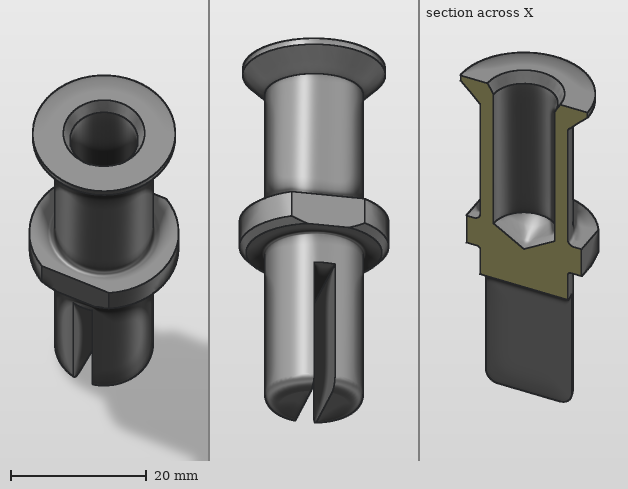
import cadquery as cq
import math

total_height = 55.0
body_radius = 7.25
foot_round = 2.0

head_radius = 10.5
rim_thickness = 1.0
head_cone_height = head_radius - body_radius

collar_radius = 11.0
collar_bottom = 25.0
collar_top = 30.0
collar_chamfer = 1.0
collar_flat_width = 19.05
upper_fillet = 1.0
lower_fillet = 0.5

slot_width = 3.15
slot_height = 20.0

bore_radius = 5.0
bore_mouth_radius = 6.0
bore_mouth_depth = (bore_mouth_radius - bore_radius) / math.tan(math.radians(30))
bore_floor = collar_top
drill_half_angle = math.radians(59)
bore_tip = bore_floor - bore_radius / math.tan(drill_half_angle)


def make_stem():
    """Body and head, turned as one profile with a rounded foot."""
    rim_bottom = total_height - rim_thickness
    profile = (
        cq.Workplane("XZ")
        .lineTo(body_radius - foot_round, 0)
        .radiusArc((body_radius, foot_round), -foot_round)
        .lineTo(body_radius, rim_bottom - head_cone_height)
        .lineTo(head_radius, rim_bottom)
        .lineTo(head_radius, total_height)
        .lineTo(0, total_height)
        .close()
    )
    return profile.revolve(360, (0, 0), (0, 1))


def make_collar():
    """Chamfered disc cut to two parallel flats."""
    height = collar_top - collar_bottom
    disc = cq.Workplane("XY").workplane(offset=collar_bottom).circle(collar_radius).extrude(height)
    disc = disc.faces("<Z").edges().chamfer(collar_chamfer)
    flats = (
        cq.Workplane("XY")
        .workplane(offset=collar_bottom)
        .rect(2 * collar_radius, collar_flat_width)
        .extrude(height)
    )
    return disc.intersect(flats)


def make_root_fillet(base, radius, direction):
    """Concave ring between body and collar; direction is +1 above the collar, -1 below."""
    profile = (
        cq.Workplane("XZ")
        .moveTo(0, base)
        .lineTo(body_radius + radius, base)
        .radiusArc((body_radius, base + direction * radius), direction * radius)
        .lineTo(0, base + direction * radius)
        .close()
    )
    return profile.revolve(360, (0, 0), (0, 1))


def make_bore():
    """Blind hole with a flared mouth and conical bottom."""
    profile = (
        cq.Workplane("XZ")
        .moveTo(0, bore_tip)
        .lineTo(bore_radius, bore_floor)
        .lineTo(bore_radius, total_height - bore_mouth_depth)
        .lineTo(bore_mouth_radius, total_height)
        .lineTo(0, total_height)
        .close()
    )
    return profile.revolve(360, (0, 0), (0, 1))


def make_slot():
    """Rectangular slot open at the foot and through both sides."""
    return cq.Workplane("XY").rect(slot_width, 2 * collar_radius).extrude(slot_height)


result = (
    make_stem()
    .union(make_collar())
    .union(make_root_fillet(collar_top, upper_fillet, 1))
    .union(make_root_fillet(collar_bottom, lower_fillet, -1))
    .cut(make_bore())
    .cut(make_slot())
)